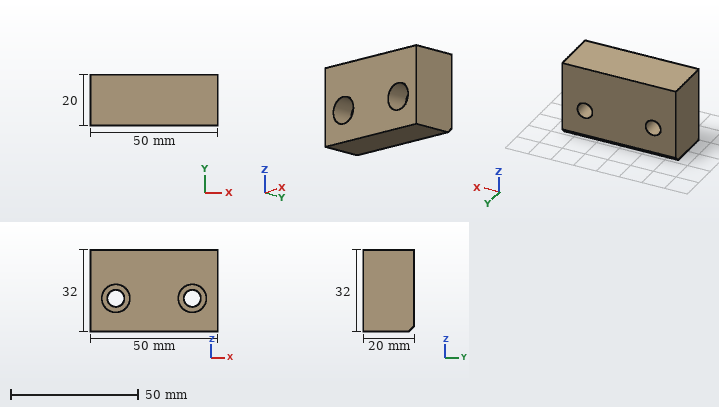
import cadquery as cq

length = 50
depth = 20
height = 32
chamfer_size = 2

hole_spacing = 30
hole_height = 13
hole_diameter = 6.6
counterbore_diameter = 11
counterbore_depth = depth / 2

block = cq.Workplane("XY").box(length, depth, height, centered=(True, True, False))

block = block.edges(">Y and <Z").chamfer(chamfer_size)

result = (
    block.faces("<Y")
    .workplane(origin=(0, -depth / 2, hole_height))
    .pushPoints([(-hole_spacing / 2, 0), (hole_spacing / 2, 0)])
    .cboreHole(hole_diameter, counterbore_diameter, counterbore_depth)
)